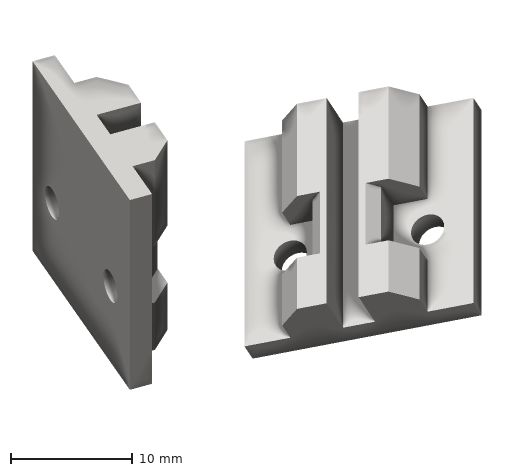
import cadquery as cq

plate_size = 20.0
plate_thickness = 2.0

total_depth = 6.0
rail_outer = 6.0
slot_width = 2.8
rail_chamfer = 2.0

hole_diameter = 2.9
hole_spacing = 2 * rail_outer
hole_height = 8.0

clearance_size = 6.0
neck_outer = rail_outer - clearance_size / 2
neck_chamfer = 1.0


def rail_pair(outer, chamfer, bottom, top):
    """Two mirrored rails with chamfered outer corners, between two heights."""
    slot_side = slot_width / 2
    profile = [
        (slot_side, plate_thickness),
        (outer, plate_thickness),
        (outer, total_depth - chamfer),
        (outer - chamfer, total_depth),
        (slot_side, total_depth),
    ]
    rail = (
        cq.Workplane("XY")
        .workplane(offset=bottom)
        .polyline(profile)
        .close()
        .extrude(top - bottom)
    )
    return rail.union(rail.mirror("YZ"))


plate = cq.Workplane("XY").box(
    plate_size, plate_thickness, plate_size, centered=(True, False, False)
)

neck_bottom = hole_height - clearance_size / 2
neck_top = hole_height + clearance_size / 2
lower_rails = rail_pair(rail_outer, rail_chamfer, 0, neck_bottom)
necks = rail_pair(neck_outer, neck_chamfer, neck_bottom, neck_top)
upper_rails = rail_pair(rail_outer, rail_chamfer, neck_top, plate_size)

holes = (
    cq.Workplane("XZ")
    .pushPoints([(-hole_spacing / 2, hole_height), (hole_spacing / 2, hole_height)])
    .circle(hole_diameter / 2)
    .extrude(-plate_thickness)
)

result = plate.union(lower_rails).union(necks).union(upper_rails).cut(holes)